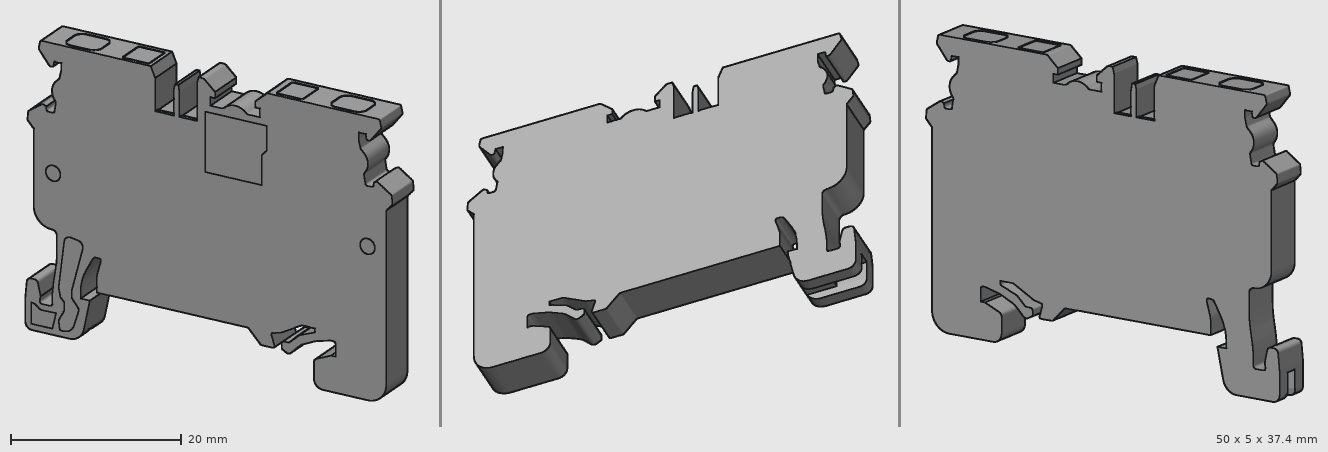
import cadquery as cq
import math


width = 5.0
height = 37.4
wall_x = 24.0
hook_corner_x = 24.86
base_z = 6.75
fixed_foot_z = 1.0
clip_x = -25.15

slot_floor_z = 31.75
slot_left_x = -7.45
slot_right_x = -1.75
pin_left_x = -4.9
pin_right_x = -4.15
marker_x = 3.44
marker_floor_z = 34.1
marker_ledge_z = 35.2
marker_lip_z = 36.0
marker_floor_half = 3.37
marker_lip_half = 2.74
marker_mouth_half = 4.27
marker_mouth_radius = 0.45

opening_half_y = 1.9
mark_depth = 0.1
wire_opening_x = 18.05
wire_opening_length = 4.7
wire_opening_radius = 1.1
tool_opening_x = 10.47
tool_opening_length = 3.6
tool_opening_radius = 0.15

skin = 0.1
pocket_depth = 0.1
round_pocket_x = 21.4
round_pocket_z = 20.7
round_pocket_diameter = 2.0

foot_slot_width = 1.55
foot_slot_top_z = 3.35
foot_slot_tall_end_x = -21.3
foot_slot_mouth_width = 1.95
foot_slot_flare_z = 0.95
foot_slot_end_x = -16.0


def toward(start, end, distance):
    """Point at the given distance from start on the way to end."""
    ratio = distance / math.dist(start, end)
    return (start[0] + ratio * (end[0] - start[0]), start[1] + ratio * (end[1] - start[1]))


def rounded_outline(corners, y):
    """Closed XZ outline at the given Y; each corner is (x, z) or (x, z, rounding radius)."""
    path = []
    for index, corner in enumerate(corners):
        point = corner[:2]
        if len(corner) == 2:
            path.append((point,))
            continue
        before = corners[index - 1][:2]
        after = corners[(index + 1) % len(corners)][:2]
        heading_in = math.atan2(before[1] - point[1], before[0] - point[0])
        heading_out = math.atan2(after[1] - point[1], after[0] - point[0])
        half_angle = abs(math.remainder(heading_out - heading_in, 2 * math.pi)) / 2
        radius = corner[2]
        tangent = radius / math.tan(half_angle)
        arc_start = toward(point, before, tangent)
        arc_end = toward(point, after, tangent)
        chord_middle = ((arc_start[0] + arc_end[0]) / 2, (arc_start[1] + arc_end[1]) / 2)
        arc_middle = toward(point, chord_middle, radius / math.sin(half_angle) - radius)
        path.append((arc_start, arc_middle, arc_end))

    outline = cq.Workplane("XZ", origin=(0, y, 0)).moveTo(*path[0][-1])
    for step in path[1:]:
        outline = outline.lineTo(*step[0])
        if len(step) == 3:
            outline = outline.threePointArc(step[1], step[2])
    if len(path[0]) == 3:
        outline = outline.lineTo(*path[0][0]).threePointArc(path[0][1], path[0][2])
    return outline.close()


def mirrored(corners):
    """The corners reflected in X = 0, in reverse order so that the outline keeps its direction."""
    return [(-corner[0], *corner[1:]) for corner in reversed(corners)]


side_corners = [
    (-wall_x, 25.9),
    (-hook_corner_x, 26.85, 0.3),
    (-24.75, 28.0, 0.3),
    (-22.75, 29.35, 0.25),
    (-22.3, 29.1),
    (-22.25, 28.5, 0.3),
    (-21.2, 28.5, 0.3),
    (-20.95, 29.95, 0.3),
    (-22.15, 31.4, 1.85),
    (-20.5, 33.1, 0.3),
    (-20.25, 34.2),
    (-20.25, 35.1),
    (-21.2, 35.1),
    (-21.35, 34.35, 0.2),
    (-21.8, 34.35, 0.5),
    (-23.35, 36.3, 0.4),
    (-23.1, height, 0.25),
]

bridge_corners = [
    (-8.05, height),
    (slot_left_x, 36.0),
    (slot_left_x, slot_floor_z),
    (pin_left_x, slot_floor_z),
    (pin_left_x, 35.2),
    (-4.75, 35.8),
    (-4.3, 35.8),
    (pin_right_x, 34.9),
    (pin_right_x, slot_floor_z),
    (slot_right_x, slot_floor_z),
    (slot_right_x, 36.6),
    (-1.55, height),
]

marker_corners = [
    (marker_x - marker_mouth_half, height, marker_mouth_radius),
    (marker_x - marker_lip_half, marker_lip_z),
    (marker_x - marker_lip_half, marker_ledge_z),
    (marker_x - marker_floor_half, marker_ledge_z),
    (marker_x - marker_floor_half, marker_floor_z),
    (marker_x - 1.65, marker_floor_z, 0.43),
    (marker_x, marker_floor_z + 1.57, 2.17),
    (marker_x + 1.65, marker_floor_z, 0.43),
    (marker_x + marker_floor_half, marker_floor_z),
    (marker_x + marker_floor_half, marker_ledge_z),
    (marker_x + marker_lip_half, marker_ledge_z),
    (marker_x + marker_lip_half, marker_lip_z),
    (marker_x + marker_mouth_half, height, marker_mouth_radius),
]

fixed_foot_corners = [
    (wall_x, fixed_foot_z, 2.5),
    (14.15, fixed_foot_z, 1.2),
    (14.15, 4.65, 0.5),
    (16.5, 5.65),
    (17.1, 5.65),
    (17.1, 7.55, 0.3),
    (16.4, 7.55),
]

spring_corners = [
    (14.3, 7.0, 3.0),
    (12.3, 6.05, 2.0),
    (10.75, 4.5, 0.5),
    (9.75, 5.05, 0.3),
    (9.75, 6.05, 0.35),
    (10.75, 6.05, 0.3),
    (12.0, 7.25, 1.0),
    (14.3, 8.15, 0.2),
    (14.3, 8.65),
    (12.5, 8.65, 1.0),
    (9.6, 7.05, 0.6),
]

rib_corners = [
    (8.3, base_z, 0.25),
    (8.9, 4.9, 0.25),
    (6.95, 4.9, 0.3),
    (5.2, base_z, 0.3),
]

clip_corners = [
    (-15.4, base_z),
    (-15.4, 8.9, 3.0),
    (-14.75, 11.2, 0.25),
    (-15.8, 11.2, 0.6),
    (-17.6, 7.9, 6.0),
    (-17.6, 5.5),
    (-16.35, 5.5),
    (-17.5, 0, 2.0),
    (clip_x, 0, 0.95),
    (clip_x, 4.0),
    (-24.9, 6.6, 0.6),
    (-23.5, 6.6, 0.5),
    (-23.05, 4.6),
    (-23.25, 3.65, 0.35),
    (-21.45, 3.65, 0.4),
    (-21.45, 5.8, 14.0),
    (-20.85, 9.5, 14.0),
    (-20.85, 13.5, 0.65),
    (-wall_x, 13.5, 2.47),
]

body_corners = (
    side_corners
    + bridge_corners
    + marker_corners
    + mirrored(side_corners)
    + fixed_foot_corners
    + spring_corners
    + rib_corners
    + clip_corners
)

window_corners = [
    (-0.7, 25.4),
    (7.0, 25.4),
    (7.0, 29.25),
    (7.7, 30.0),
    (7.7, 33.15),
    (-0.7, 33.15),
]
foot_pocket_corners = [
    (-24.4, 0.75),
    (-21.5, 0.75),
    (-21.0, 2.85),
    (-23.1, 2.8, 0.5),
    (-23.9, 3.4, 0.3),
    (-24.4, 3.5),
]
leg_pocket_corners = [
    (-20.5, 0.75, 0.3),
    (-18.9, 0.75, 1.5),
    (-17.85, 4.0, 0.5),
    (-18.9, 5.3),
    (-18.9, 6.1),
    (-17.15, 12.7, 0.8),
    (-19.8, 13.1, 0.8),
    (-20.65, 6.2),
    (-20.4, 5.0),
    (-19.9, 4.5),
    (-19.9, 3.4),
    (-20.65, 2.0),
]


def make_body():
    return rounded_outline(body_corners, width / 2).extrude(width)


def top_recess(x, z, length, radius=0):
    """Shallow rectangular recess sunk from height z, centred on the width."""
    block = cq.Workplane("XY", origin=(x, 0, z)).rect(length, 2 * opening_half_y).extrude(-mark_depth)
    return block.edges("|Z").fillet(radius) if radius else block


def cut_top_marks(body):
    for side in (-1, 1):
        body = body.cut(top_recess(side * wire_opening_x, height, wire_opening_length, wire_opening_radius))
        body = body.cut(top_recess(side * tool_opening_x, height, tool_opening_length, tool_opening_radius))
    for left, right in ((slot_left_x, pin_left_x), (pin_right_x, slot_right_x)):
        body = body.cut(top_recess((left + right) / 2, slot_floor_z, right - left))
    return body


def cut_relief_pockets(body):
    pocket_back_y = -width / 2 + skin + pocket_depth
    for corners in (window_corners, foot_pocket_corners, leg_pocket_corners):
        body = body.cut(rounded_outline(corners, pocket_back_y).extrude(pocket_depth))
    round_pockets = (
        cq.Workplane("XZ", origin=(0, pocket_back_y, round_pocket_z))
        .pushPoints([(-round_pocket_x, 0), (round_pocket_x, 0)])
        .circle(round_pocket_diameter / 2)
        .extrude(pocket_depth)
    )
    return body.cut(round_pockets)


def cut_foot_slot(body):
    """Flared groove along the whole clip foot, with a taller blind slot above its -X end."""
    half = foot_slot_width / 2
    mouth_half = foot_slot_mouth_width / 2
    flared_groove = (
        cq.Workplane("YZ", origin=(clip_x, 0, 0))
        .polyline([
            (-mouth_half, 0),
            (-half, foot_slot_flare_z),
            (half, foot_slot_flare_z),
            (mouth_half, 0),
        ])
        .close()
        .extrude(foot_slot_end_x - clip_x)
    )
    tall_slot = cq.Workplane("XY", origin=(clip_x, 0, 0)).box(
        foot_slot_tall_end_x - clip_x,
        foot_slot_width,
        foot_slot_top_z,
        centered=(False, True, False),
    )
    return body.cut(flared_groove).cut(tall_slot)


result = cut_foot_slot(cut_relief_pockets(cut_top_marks(make_body())))